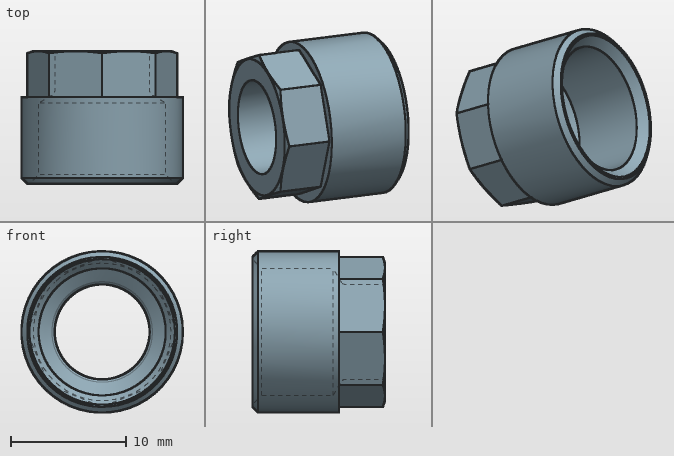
import cadquery as cq
import math

body_diameter = 14.0
total_length = 11.5
body_length = 7.5
rim_chamfer = 0.5

octagon_sides = 8
octagon_corner_diameter = 13.0
crown_end_diameter = 11.9
crown_chamfer_length = 0.2

mouth_diameter = 12.6
bore_diameter = 11.0
through_diameter = 8.2
seat_lip_radius = 0.5
mouth_taper_angle = 45.0
seat_angle = 60.0
bore_depth = 7.0

body_radius = body_diameter / 2
bore_radius = bore_diameter / 2
through_radius = through_diameter / 2
mouth_radius = mouth_diameter / 2
mouth_depth = (mouth_radius - bore_radius) / math.tan(math.radians(mouth_taper_angle))

seat_slope = math.radians(seat_angle)
seat_inner_radius = through_radius + seat_lip_radius * (1 - math.cos(seat_slope))
seat_end = bore_depth + (bore_radius - seat_inner_radius) / math.tan(seat_slope)
lip_end = seat_end + seat_lip_radius * math.sin(seat_slope)
lip_middle = (
    through_radius + seat_lip_radius * (1 - math.cos(seat_slope / 2)),
    lip_end - seat_lip_radius * math.sin(seat_slope / 2),
)


def revolve_profile(points):
    """Revolve a closed (radius, length) profile about the Y axis."""
    return cq.Workplane("XY").polyline(points).close().revolve(360, (0, 0), (0, 1))


def make_body():
    return revolve_profile([
        (0, 0),
        (body_radius - rim_chamfer, 0),
        (body_radius, rim_chamfer),
        (body_radius, body_length),
        (0, body_length),
    ])


def make_octagon_end():
    octagon = (
        cq.Workplane("XZ")
        .polygon(octagon_sides, octagon_corner_diameter)
        .extrude(-total_length)
    )
    corner_radius = octagon_corner_diameter / 2
    crown = revolve_profile([
        (0, body_length),
        (corner_radius, body_length),
        (corner_radius, total_length - crown_chamfer_length),
        (crown_end_diameter / 2, total_length),
        (0, total_length),
    ])
    return octagon.intersect(crown)


def make_bore():
    return (
        cq.Workplane("XY")
        .lineTo(mouth_radius, 0)
        .lineTo(bore_radius, mouth_depth)
        .lineTo(bore_radius, bore_depth)
        .lineTo(seat_inner_radius, seat_end)
        .threePointArc(lip_middle, (through_radius, lip_end))
        .lineTo(through_radius, total_length)
        .lineTo(0, total_length)
        .close()
        .revolve(360, (0, 0), (0, 1))
    )


result = make_body().union(make_octagon_end()).cut(make_bore())